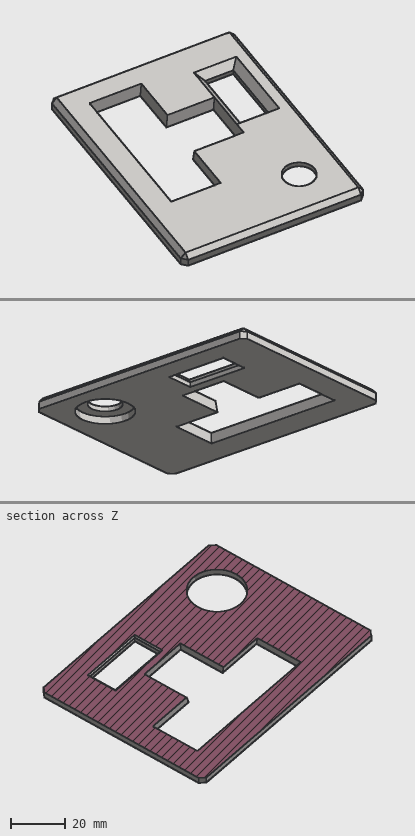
import cadquery as cq

length = 101.7
width = 77.4
thickness = 5.0
edge_chamfer = 2.0

hole_diameter = 13.0
hole_x = 31.8
hole_y = 21.1
recess_diameter = 22.4
hole_land = 2.0

window_left = -32.8
window_right = -6.4
window_bottom = 17.4
window_top = 29.3
window_bevel = 3.1

bar_left = -39.2
bar_right = 20.7
bar_bottom = -26.5
shoulder_y = -6.6
stem_left = -19.3
stem_right = 0.7
keypad_flare = 1.0


def make_plate():
    plate = cq.Workplane("XY").box(length, width, thickness, centered=(True, True, False))
    return plate.edges("|Z or >Z").chamfer(edge_chamfer)


def rectangle_points(left, right, bottom, top, growth=0.0):
    return [
        (left - growth, bottom - growth),
        (right + growth, bottom - growth),
        (right + growth, top + growth),
        (left - growth, top + growth),
    ]


def keypad_points(growth):
    """Inverted T grown outward on every side except the right shoulder."""
    stem_top = window_bottom - window_bevel - keypad_flare
    return [
        (bar_left - growth, bar_bottom - growth),
        (bar_right + growth, bar_bottom - growth),
        (bar_right + growth, shoulder_y),
        (stem_right + growth, shoulder_y),
        (stem_right + growth, stem_top + growth),
        (stem_left - growth, stem_top + growth),
        (stem_left - growth, shoulder_y + growth),
        (bar_left - growth, shoulder_y + growth),
    ]


def ruled_cutter(lower_points, upper_points, lower_z):
    """Solid with flat walls from the lower outline up to one on the top surface."""
    return (
        cq.Workplane("XY")
        .workplane(offset=lower_z)
        .polyline(lower_points)
        .close()
        .workplane(offset=thickness - lower_z)
        .polyline(upper_points)
        .close()
        .loft(ruled=True)
    )


def make_window_cutter():
    window = (window_left, window_right, window_bottom, window_top)
    opening = cq.Workplane("XY").polyline(rectangle_points(*window)).close().extrude(thickness)
    bevel = ruled_cutter(
        rectangle_points(*window),
        rectangle_points(*window, growth=window_bevel),
        thickness - window_bevel,
    )
    return opening.union(bevel)


def make_keypad_cutter():
    return ruled_cutter(keypad_points(0.0), keypad_points(keypad_flare), 0.0)


def make_hole_cutter():
    center = cq.Workplane("XY").center(hole_x, hole_y)
    hole = center.circle(hole_diameter / 2).extrude(thickness)
    recess = center.circle(recess_diameter / 2).extrude(thickness - hole_land)
    return hole.union(recess)


result = make_plate().cut(make_window_cutter()).cut(make_keypad_cutter()).cut(make_hole_cutter())